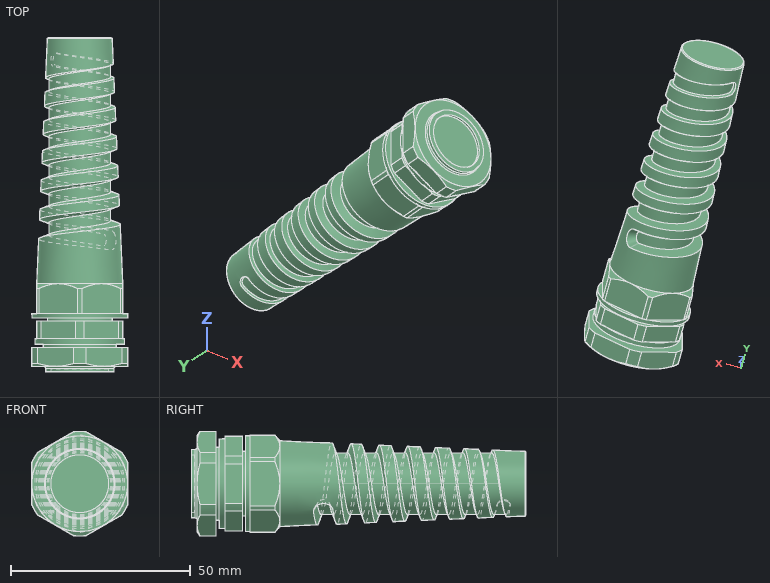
import cadquery as cq
import math

LENGTH = 93.0

LIP_STEP = 1.0
NUT_FRONT = 1.5
NUT_BACK = 6.85
WASHER_FRONT = 7.7
WASHER_BACK = 9.3
BODY_BACK = 14.2
FLANGE_FRONT = 14.95
FLANGE_BACK = 16.25
CAP_BACK = 24.55

NUT_FLATS = 26.8
NUT_CORNER_D = 29.18
BODY_FLATS = 24.0
BODY_CORNER_D = 26.4
CAP_CORNER_D = 27.0
NUT_BEVEL_LENGTH = 0.85
NUT_BEVEL_END_D = 26.6
CAP_BEVEL_LENGTH = 1.35
CAP_BEVEL_END_D = 24.0

LIP_FRONT_D = 19.06
LIP_BACK_D = 19.6
THREAD_D = 20.4
WASHER_D = 25.0
NECK_D = 18.1
FLANGE_D = 26.7
SEAL_D = 16.1
SEAL_DEPTH = 0.8

SLEEVE_FRONT_D = 24.0
SLEEVE_BACK_D = 18.1
SLEEVE_EDGE = 0.3

CORE_D = 17.21
GROOVE_PITCH = 8.0
GROOVE_FULL_TURNS = 6
GROOVE_OVERRUN = 48.0
GROOVE_TURNS = GROOVE_FULL_TURNS + 2 * GROOVE_OVERRUN / 360
GROOVE_START_ANGLE = 90.0 - GROOVE_OVERRUN
GROOVE_FIRST_CROSSING_Y = 37.75
GROOVE_START_Y = GROOVE_FIRST_CROSSING_Y - GROOVE_PITCH * GROOVE_OVERRUN / 360
GROOVE_FLOOR_WIDTH = 3.4
GROOVE_FLANK_ANGLE = 20.0
CUTTER_TOP_D = 25.0
CUTTER_TIP_D = 16.0


def cone(y_start, y_end, start_d, end_d):
    """Solid of revolution about Y whose diameter changes evenly."""
    return (
        cq.Workplane("XY")
        .moveTo(0, y_start)
        .lineTo(start_d / 2, y_start)
        .lineTo(end_d / 2, y_end)
        .lineTo(0, y_end)
        .close()
        .revolve(360, (0, 0, 0), (0, 1, 0))
    )


def disc(y_start, y_end, diameter):
    return cone(y_start, y_end, diameter, diameter)


def hexagon(y_start, y_end, flats):
    """Hexagonal prism along Y with two flats facing +X and -X."""
    return (
        cq.Workplane("XZ")
        .polygon(6, flats / math.cos(math.pi / 6))
        .extrude(y_start - y_end)
        .rotate((0, 0, 0), (0, 1, 0), 30)
        .translate((0, y_start, 0))
    )


def make_nut():
    bevel_end = NUT_FRONT + NUT_BEVEL_LENGTH
    envelope = cone(NUT_FRONT, bevel_end, NUT_BEVEL_END_D, NUT_CORNER_D)
    envelope = envelope.union(disc(bevel_end, NUT_BACK, NUT_CORNER_D))
    return hexagon(NUT_FRONT, NUT_BACK, NUT_FLATS).intersect(envelope)


def make_body():
    envelope = disc(WASHER_BACK, BODY_BACK, BODY_CORNER_D)
    return hexagon(WASHER_BACK, BODY_BACK, BODY_FLATS).intersect(envelope)


def make_cap():
    bevel_start = CAP_BACK - CAP_BEVEL_LENGTH
    envelope = disc(FLANGE_BACK, bevel_start, CAP_CORNER_D)
    envelope = envelope.union(cone(bevel_start, CAP_BACK, CAP_CORNER_D, CAP_BEVEL_END_D))
    hex_cap = hexagon(FLANGE_BACK, CAP_BACK, BODY_FLATS).intersect(envelope)
    return hex_cap.union(disc(FLANGE_FRONT, FLANGE_BACK, FLANGE_D))


def make_front_lip():
    lip = disc(0, LIP_STEP, LIP_FRONT_D)
    lip = lip.union(cone(LIP_STEP, NUT_FRONT, LIP_FRONT_D, LIP_BACK_D))
    return lip.cut(disc(0, SEAL_DEPTH, SEAL_D))


def groove_half_width(diameter):
    """Half width of the groove section at a given diameter."""
    rise = (diameter - CORE_D) / 2
    return GROOVE_FLOOR_WIDTH / 2 + rise * math.tan(math.radians(GROOVE_FLANK_ANGLE))


TIP_HALF_WIDTH = groove_half_width(CUTTER_TIP_D)
TOP_HALF_WIDTH = groove_half_width(CUTTER_TOP_D)


def make_groove_end():
    """Round end of the groove: a conical cutter pointing along +X."""
    return (
        cq.Workplane("XY")
        .moveTo(CUTTER_TIP_D / 2, 0)
        .lineTo(CUTTER_TIP_D / 2, TIP_HALF_WIDTH)
        .lineTo(CUTTER_TOP_D / 2, TOP_HALF_WIDTH)
        .lineTo(CUTTER_TOP_D / 2, 0)
        .close()
        .revolve(360, (0, 0, 0), (1, 0, 0))
    )


def make_groove():
    """Helical cutter of trapezoid section, starting at +X and y = 0."""
    helix = cq.Wire.makeHelix(GROOVE_PITCH, GROOVE_PITCH * GROOVE_TURNS, CORE_D / 2)
    return (
        cq.Workplane("XZ")
        .moveTo(CUTTER_TIP_D / 2, -TIP_HALF_WIDTH)
        .lineTo(CUTTER_TOP_D / 2, -TOP_HALF_WIDTH)
        .lineTo(CUTTER_TOP_D / 2, TOP_HALF_WIDTH)
        .lineTo(CUTTER_TIP_D / 2, TIP_HALF_WIDTH)
        .close()
        .sweep(cq.Workplane(helix), isFrenet=True)
        .rotate((0, 0, 0), (1, 0, 0), -90)
    )


def about_axis(shape, turns, y):
    """Turn a groove cutter about Y from the groove start and move it along Y."""
    angle = GROOVE_START_ANGLE + 360 * turns
    return shape.rotate((0, 0, 0), (0, 1, 0), angle).translate((0, y, 0))


def make_sleeve():
    sleeve = cone(CAP_BACK, LENGTH, SLEEVE_FRONT_D, SLEEVE_BACK_D)
    sleeve = sleeve.faces(">Y").chamfer(SLEEVE_EDGE)
    sleeve = sleeve.cut(about_axis(make_groove(), 0, GROOVE_START_Y))
    for turns in (0, GROOVE_TURNS):
        end_y = GROOVE_START_Y + GROOVE_PITCH * turns
        sleeve = sleeve.cut(about_axis(make_groove_end(), turns, end_y))
    return sleeve.union(disc(CAP_BACK, LENGTH - SLEEVE_EDGE, CORE_D))


result = (
    make_front_lip()
    .union(make_nut())
    .union(disc(NUT_BACK, WASHER_FRONT, THREAD_D))
    .union(disc(WASHER_FRONT, WASHER_BACK, WASHER_D))
    .union(make_body())
    .union(disc(BODY_BACK, FLANGE_FRONT, NECK_D))
    .union(make_cap())
    .union(make_sleeve())
)